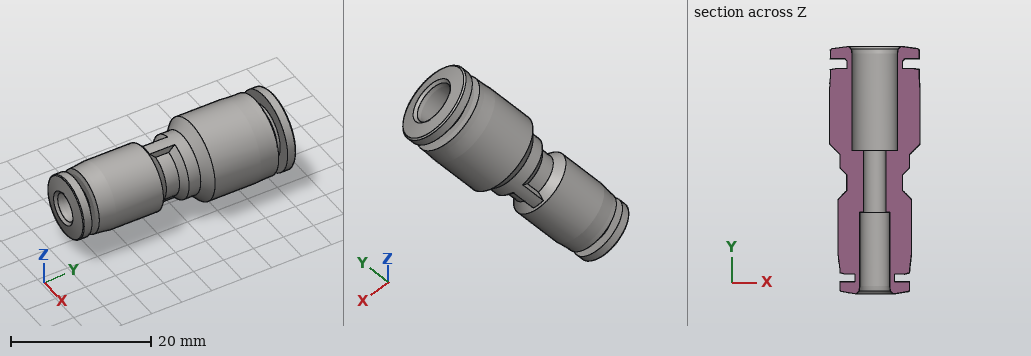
import cadquery as cq

length = 35.4

large_body_radius = 6.495
large_collar_radius = 6.37
large_neck_radius = 4.0
large_bore_radius = 3.22
large_lip_radius = 5.45
large_shoulder_y = 21.4
large_taper_start_y = 29.1
large_taper_end_y = 31.1
large_lip_y = 32.1
large_body_end_y = 32.25
large_neck_end_y = 33.28
large_flange_y = 33.6
large_flange_edge_y = 34.87
large_face_y = 35.08
large_face_radius = 6.12

waist_radius = 5.0
groove_radius = 4.0
waist_start_y = 19.93
waist_end_y = 18.0
groove_start_y = waist_end_y - (waist_radius - groove_radius)
groove_end_y = 14.8
rib_width = 2.02

small_body_radius = 5.27
small_taper_radius = 5.03
small_collar_radius = 5.0
small_neck_radius = 2.83
small_bore_radius = 2.12
small_lip_radius = 4.25
small_shoulder_y = groove_end_y - (small_body_radius - groove_radius)
small_taper_start_y = 5.7
small_taper_end_y = 3.68
small_lip_y = 3.0
small_body_end_y = 2.83
small_flange_y = 1.77
small_flange_edge_y = 0.5
small_face_y = 0.35
small_face_radius = 4.85

mouth_chamfer = 0.42
lead_in = 0.1
lead_in_length = 0.67
small_bore_depth = 11.68
large_bore_depth = 14.87
passage_radius = 1.6


def revolve_outline(points):
    """Revolve a closed (radius, Y) outline about the Y axis."""
    return cq.Workplane("XY").polyline(points).close().revolve(360, (0, 0, 0), (0, 1, 0))


def make_outer_body():
    return revolve_outline([
        (0, 0),
        (small_bore_radius + lead_in + mouth_chamfer, 0),
        (small_face_radius, small_face_y),
        (small_collar_radius, small_flange_edge_y),
        (small_collar_radius, small_flange_y),
        (small_neck_radius, small_flange_y),
        (small_neck_radius, small_body_end_y),
        (small_lip_radius, small_body_end_y),
        (small_collar_radius, small_lip_y),
        (small_taper_radius, small_taper_end_y),
        (small_body_radius, small_taper_start_y),
        (small_body_radius, small_shoulder_y),
        (groove_radius, groove_end_y),
        (groove_radius, groove_start_y),
        (waist_radius, waist_end_y),
        (waist_radius, waist_start_y),
        (large_body_radius, large_shoulder_y),
        (large_body_radius, large_taper_start_y),
        (large_collar_radius, large_taper_end_y),
        (large_collar_radius, large_lip_y),
        (large_lip_radius, large_body_end_y),
        (large_neck_radius, large_body_end_y),
        (large_neck_radius, large_neck_end_y),
        (large_neck_radius + large_flange_y - large_neck_end_y, large_flange_y),
        (large_collar_radius, large_flange_y),
        (large_collar_radius, large_flange_edge_y),
        (large_face_radius, large_face_y),
        (large_bore_radius + lead_in + mouth_chamfer, length),
        (0, length),
    ])


def make_ribs():
    """Pair of ribs bridging the groove at +Z and -Z, with round outer faces."""
    rib_length = waist_end_y - small_shoulder_y
    bar = cq.Workplane("XY").box(rib_width, rib_length, 2 * waist_radius, centered=(True, False, True))
    disc = cq.Workplane("XZ").circle(waist_radius).extrude(-rib_length)
    return bar.intersect(disc).translate((0, small_shoulder_y, 0))


def make_bore(radius, depth, end_y, inward):
    """Tube socket opening at end_y; inward is +1 or -1 along Y."""
    outline = [
        (0, 0),
        (radius + lead_in + mouth_chamfer, 0),
        (radius + lead_in, mouth_chamfer),
        (radius, mouth_chamfer + lead_in_length),
        (radius, depth),
        (0, depth),
    ]
    return revolve_outline([(r, end_y + inward * y) for r, y in outline])


passage = cq.Workplane("XZ").circle(passage_radius).extrude(-length)

result = (
    make_outer_body()
    .union(make_ribs())
    .cut(make_bore(small_bore_radius, small_bore_depth, 0, 1))
    .cut(make_bore(large_bore_radius, large_bore_depth, length, -1))
    .cut(passage)
)